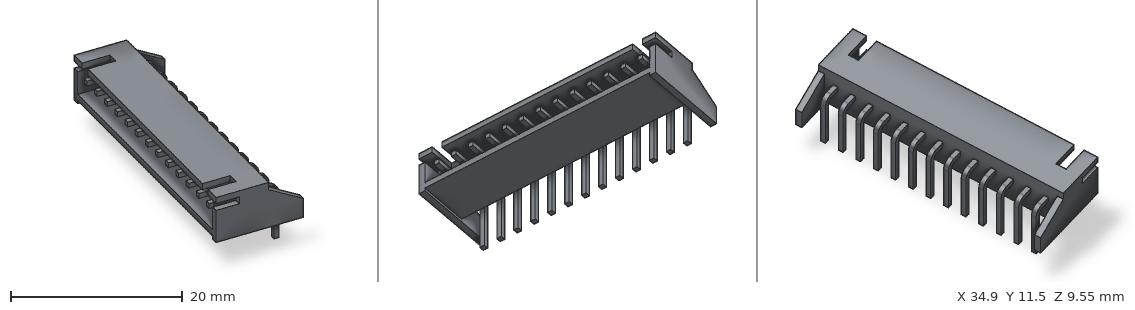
import cadquery as cq

length = 34.9
depth = 11.5
height = 6.2
pin_drop = 3.35
wall = 0.87
lid = 0.85
foot = 0.42
body_depth = 6.95
cavity_depth = body_depth - wall

ear_rear_height = 2.62
ear_front_height = 5.2

side_slot_depth = 3.07
side_slot_height = 0.95
lid_slot_depth = 3.65
lid_slot_width = 1.43
lid_slot_offset = 1.95

pin_count = 13
end_pin_inset = 2.45
pitch = (length - 2 * end_pin_inset) / (pin_count - 1)
pin_size = 0.65
pin_axis_below_top = 2.45
pin_tip_setback = 0.2
pin_rear = 9.45
bend_radius = 1.2

floor_bottom = foot
floor_top = floor_bottom + wall
lid_bottom = height - lid


def box(x_start, x_end, y_start, y_end, z_start, z_end):
    """Box given by its limits along each axis."""
    size = (x_end - x_start, y_end - y_start, z_end - z_start)
    return cq.Workplane("XY").box(*size, centered=False).translate((x_start, y_start, z_start))


def side_wall(x_start):
    """Wall with a sloped ear at the rear and an open slot under the lid at the front."""
    return (
        cq.Workplane("YZ", origin=(x_start, 0, 0))
        .moveTo(0, 0)
        .lineTo(depth, 0)
        .lineTo(depth, ear_rear_height)
        .lineTo(body_depth, ear_front_height)
        .lineTo(body_depth, height)
        .lineTo(0, height)
        .lineTo(0, lid_bottom)
        .lineTo(side_slot_depth, lid_bottom)
        .lineTo(side_slot_depth, lid_bottom - side_slot_height)
        .lineTo(0, lid_bottom - side_slot_height)
        .close()
        .extrude(wall)
    )


def body():
    """Block between the side walls, hollowed from the front, with a slot near each end of the lid."""
    inner_half = length / 2 - wall
    block = box(-inner_half, inner_half, 0, body_depth, floor_bottom, height)
    block = block.cut(box(-inner_half, inner_half, 0, cavity_depth, floor_top, lid_bottom))
    slot_outer = length / 2 - lid_slot_offset
    slot_inner = slot_outer - lid_slot_width
    for start, end in ((-slot_outer, -slot_inner), (slot_inner, slot_outer)):
        block = block.cut(box(start, end, 0, lid_slot_depth, lid_bottom, height))
    return block


def pin(x_center):
    """Square pin running back through the body and bending down to its tail."""
    top = height - pin_axis_below_top + pin_size / 2
    bottom = top - pin_size
    tail_front = pin_rear - pin_size
    bend_y = pin_rear - bend_radius
    bend_z = top - bend_radius
    return (
        cq.Workplane("YZ", origin=(x_center, 0, 0))
        .moveTo(pin_tip_setback, top)
        .lineTo(bend_y, top)
        .radiusArc((pin_rear, bend_z), bend_radius)
        .lineTo(pin_rear, -pin_drop)
        .lineTo(tail_front, -pin_drop)
        .lineTo(tail_front, bend_z)
        .radiusArc((bend_y, bottom), -(bend_radius - pin_size))
        .lineTo(pin_tip_setback, bottom)
        .close()
        .extrude(pin_size / 2, both=True)
    )


result = body()
for wall_start in (-length / 2, length / 2 - wall):
    result = result.union(side_wall(wall_start))
for index in range(pin_count):
    result = result.union(pin((index - (pin_count - 1) / 2) * pitch))
result = result.clean()